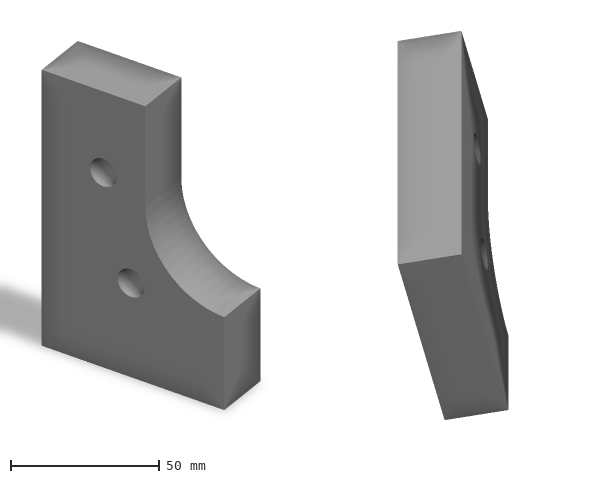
import cadquery as cq
import math

width = 74.0
thickness = 22.0
height = 110.0

upper_width = 42.0
relief_radius = 33.0
relief_centre_x = upper_width + relief_radius
relief_centre_z = 70.0
foot_height = relief_centre_z - math.sqrt(relief_radius**2 - (relief_centre_x - width) ** 2)

hole_diameter = 11.0
hole_circle_radius = 50.58
hole_angles = [171.3, 220.0]


def make_plate():
    """Plate with a concave arc cut into its upper right corner."""
    return (
        cq.Workplane("XZ")
        .lineTo(width, 0)
        .lineTo(width, foot_height)
        .radiusArc((upper_width, relief_centre_z), relief_radius)
        .lineTo(upper_width, height)
        .lineTo(0, height)
        .close()
        .extrude(-thickness)
    )


def hole_centre(angle):
    """Point (x, z) on the hole circle at the given angle in degrees."""
    x = relief_centre_x + hole_circle_radius * math.cos(math.radians(angle))
    z = relief_centre_z + hole_circle_radius * math.sin(math.radians(angle))
    return (x, z)


def make_holes():
    """Cylinders running through the full plate thickness."""
    return (
        cq.Workplane("XZ")
        .pushPoints([hole_centre(angle) for angle in hole_angles])
        .circle(hole_diameter / 2)
        .extrude(-thickness)
    )


result = make_plate().cut(make_holes())